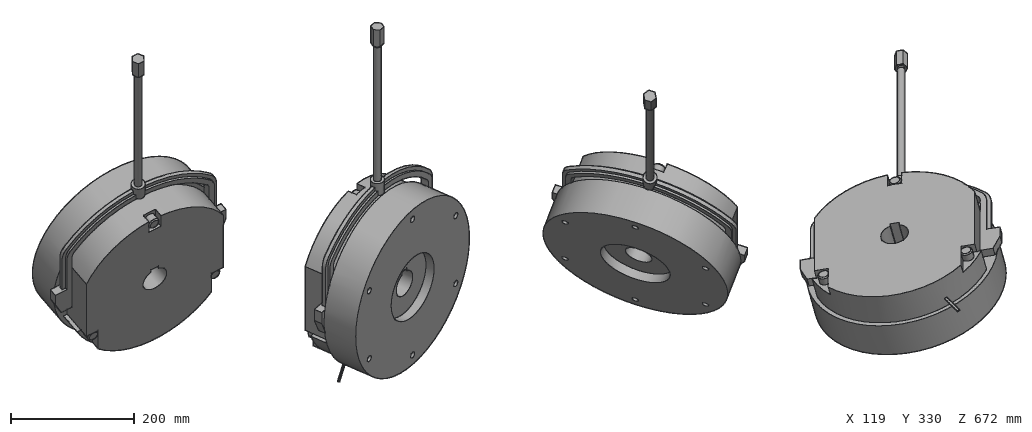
import cadquery as cq
import math


OVERALL_HEIGHT = 672.0

LENGTH = 119.0
DISC_LENGTH = 62.5
DISC_RADIUS = 158.5
MAGNET_RADIUS = 151.0
FLAT_HALF_WIDTH = 132.5
FLAT_BOTTOM = -58.0

RECESS_RADIUS = 60.0
RECESS_DEPTH = 16.0
BORE_RADIUS = 23.0
KEYWAY_WIDTH = 15.0
KEYWAY_TOP = 27.5
HOLE_COUNT = 6
HOLE_CIRCLE_RADIUS = 139.0
HOLE_RADIUS = 5.5
HOLE_DEPTH = 7.0

SCREW_CIRCLE_RADIUS = 136.0
SCREW_ANGLES = (90, 210, 330)
SCREW_RADIUS = 10.0
SCREW_CHAMFER = 2.0
POCKET_DEPTH = 16.0
POCKET_START = LENGTH - POCKET_DEPTH
SCREW_LENGTH = 15.0
TOP_POCKET_WIDTH = 23.5
TOP_POCKET_FLOOR = 124.5
SIDE_POCKET_HALF_WIDTH = 109.5

YOKE_THICKNESS = 15.0
YOKE_CENTER_X = DISC_LENGTH + YOKE_THICKNESS / 2
YOKE_ARC_CENTER_Z = -13.5
YOKE_INNER_ARC = 178.0
FLANGE_WIDTH = 10.0
RIB_HEIGHT = 7.0
RIB_THICKNESS = 7.0
YOKE_INNER_CORNER = 15.5

EAR_HALF_SPAN = 330.0 / 2
EAR_TOP = 25.0
EAR_KNEE = 2.0
EAR_BOTTOM = -25.5
EAR_TAPER = 11.5

SLEEVE_RADIUS = 11.5
SLEEVE_BOTTOM = YOKE_ARC_CENTER_Z + YOKE_INNER_ARC
SLEEVE_TOP = 189.5
ROD_RADIUS = 6.4
LEVER_TOP = 503.5
GRIP_LENGTH = 39.0
GRIP_ACROSS_FLATS = 19.0
GRIP_CHAMFER = 1.5
GRIP_FOOT_RADIUS = 9.5
NECK_RADIUS = 7.0
NECK_LENGTH = 4.0

CABLE_WIDTH = 5.0
CABLE_THICKNESS = 2.0
CABLE_X = 78.0
CABLE_ANGLE = -60
CABLE_START = 141.0
CABLE_BOTTOM = LEVER_TOP - OVERALL_HEIGHT


def cylinder_x(radius, start, length, y=0.0, z=0.0):
    """Cylinder along X."""
    return cq.Workplane("YZ", origin=(start, y, z)).circle(radius).extrude(length)


def box(x_range, y_range, z_range):
    """Box between pairs of limits."""
    sizes = [limits[1] - limits[0] for limits in (x_range, y_range, z_range)]
    corner = (x_range[0], y_range[0], z_range[0])
    return cq.Workplane("XY").box(*sizes, centered=False).translate(corner)


def on_circle(radius, angle):
    """Y and Z of a point on a circle around the brake axis."""
    return radius * math.cos(math.radians(angle)), radius * math.sin(math.radians(angle))


def make_housing():
    """Round disc with a smaller magnet body behind it, flattened on both sides."""
    disc = cylinder_x(DISC_RADIUS, 0, DISC_LENGTH)
    magnet = cylinder_x(MAGNET_RADIUS, DISC_LENGTH, LENGTH - DISC_LENGTH)
    for side in (-1, 1):
        y_range = sorted((side * FLAT_HALF_WIDTH, side * DISC_RADIUS))
        magnet = magnet.cut(box((DISC_LENGTH, LENGTH), y_range, (FLAT_BOTTOM, MAGNET_RADIUS)))
    return disc.union(magnet)


def cut_hub_and_holes(body):
    """Cut the hub recess, the keyed through bore and the ring of blind holes."""
    body = body.cut(cylinder_x(RECESS_RADIUS, 0, RECESS_DEPTH))
    body = body.cut(cylinder_x(BORE_RADIUS, 0, LENGTH))
    half_key = KEYWAY_WIDTH / 2
    body = body.cut(box((0, LENGTH), (-half_key, half_key), (0, KEYWAY_TOP)))
    for index in range(HOLE_COUNT):
        y, z = on_circle(HOLE_CIRCLE_RADIUS, 90 + index * 360 / HOLE_COUNT)
        body = body.cut(cylinder_x(HOLE_RADIUS, 0, HOLE_DEPTH, y, z))
    return body


def add_screws(body):
    """Cut the corner pockets in the rear face, then set a screw head in each."""
    pocket_x = (POCKET_START, LENGTH)
    half_top = TOP_POCKET_WIDTH / 2
    body = body.cut(box(pocket_x, (-half_top, half_top), (TOP_POCKET_FLOOR, MAGNET_RADIUS)))
    for side in (-1, 1):
        y_range = sorted((side * SIDE_POCKET_HALF_WIDTH, side * MAGNET_RADIUS))
        body = body.cut(box(pocket_x, y_range, (-MAGNET_RADIUS, FLAT_BOTTOM)))
    for angle in SCREW_ANGLES:
        y, z = on_circle(SCREW_CIRCLE_RADIUS, angle)
        head = cylinder_x(SCREW_RADIUS, POCKET_START, SCREW_LENGTH, y, z)
        body = body.union(head.faces(">X").chamfer(SCREW_CHAMFER))
    return body


def bow_plate(offset, thickness):
    """Filled bow outline, grown outward by offset from the inner edge of the yoke."""
    radius = YOKE_INNER_ARC + offset
    half_width = FLAT_HALF_WIDTH + offset
    shoulder = YOKE_ARC_CENTER_Z + math.sqrt(radius**2 - half_width**2)
    plate = (
        cq.Workplane("YZ", origin=(YOKE_CENTER_X, 0, 0))
        .moveTo(-half_width, EAR_BOTTOM)
        .lineTo(-half_width, shoulder)
        .threePointArc((0, YOKE_ARC_CENTER_Z + radius), (half_width, shoulder))
        .lineTo(half_width, EAR_BOTTOM)
        .close()
        .extrude(thickness / 2, both=True)
    )
    upper_edges = plate.edges("|X").edges(">Z")
    return upper_edges.fillet(YOKE_INNER_CORNER + offset)


def make_yoke():
    """Bow with a wide inner flange, a thin outer rib and an ear at each foot."""
    flange = bow_plate(FLANGE_WIDTH, YOKE_THICKNESS)
    rib = bow_plate(FLANGE_WIDTH + RIB_HEIGHT, RIB_THICKNESS)
    yoke = flange.union(rib).cut(bow_plate(0, YOKE_THICKNESS))
    ear = (
        cq.Workplane("YZ", origin=(DISC_LENGTH, 0, 0))
        .moveTo(FLAT_HALF_WIDTH, EAR_TOP)
        .lineTo(EAR_HALF_SPAN, EAR_TOP)
        .lineTo(EAR_HALF_SPAN, EAR_KNEE)
        .lineTo(EAR_HALF_SPAN - EAR_TAPER, EAR_BOTTOM)
        .lineTo(FLAT_HALF_WIDTH, EAR_BOTTOM)
        .close()
        .extrude(YOKE_THICKNESS)
    )
    return yoke.union(ear).union(ear.mirror("XZ"))


def make_lever():
    """Sleeve, rod and hexagonal grip; the grip has a chamfered foot and a short round neck."""
    base = cq.Workplane("XY", origin=(YOKE_CENTER_X, 0, SLEEVE_BOTTOM))
    sleeve = base.circle(SLEEVE_RADIUS).extrude(SLEEVE_TOP - SLEEVE_BOTTOM)
    rod = base.circle(ROD_RADIUS).extrude(LEVER_TOP - SLEEVE_BOTTOM)
    across_corners = GRIP_ACROSS_FLATS / math.cos(math.radians(30))
    grip_base = cq.Workplane("XY", origin=(YOKE_CENTER_X, 0, LEVER_TOP - GRIP_LENGTH))
    hexagon = grip_base.transformed(rotate=(0, 0, 90)).polygon(6, across_corners)
    grip = hexagon.extrude(GRIP_LENGTH)
    envelope = (
        cq.Workplane("XZ", origin=(YOKE_CENTER_X, 0, LEVER_TOP - GRIP_LENGTH))
        .polyline([
            (0, 0),
            (NECK_RADIUS, 0),
            (NECK_RADIUS, NECK_LENGTH),
            (GRIP_FOOT_RADIUS, NECK_LENGTH),
            (across_corners / 2, NECK_LENGTH + GRIP_CHAMFER),
            (across_corners / 2, GRIP_LENGTH),
            (0, GRIP_LENGTH),
        ])
        .close()
        .revolve(360, (0, 0, 0), (0, 1, 0))
    )
    return sleeve.union(rod).union(grip.intersect(envelope))


def make_cable():
    """Straight flat cable leaving the magnet body radially."""
    y, z = on_circle(CABLE_START, CABLE_ANGLE)
    direction = cq.Vector(0, *on_circle(1, CABLE_ANGLE))
    end_radius = (CABLE_BOTTOM + CABLE_WIDTH / 2 * direction.y) / direction.z
    plane = cq.Plane(origin=(CABLE_X, y, z), xDir=(1, 0, 0), normal=direction)
    return cq.Workplane(plane).rect(CABLE_THICKNESS, CABLE_WIDTH).extrude(end_radius - CABLE_START)


body = add_screws(cut_hub_and_holes(make_housing()))
result = body.union(make_yoke()).union(make_lever()).union(make_cable())